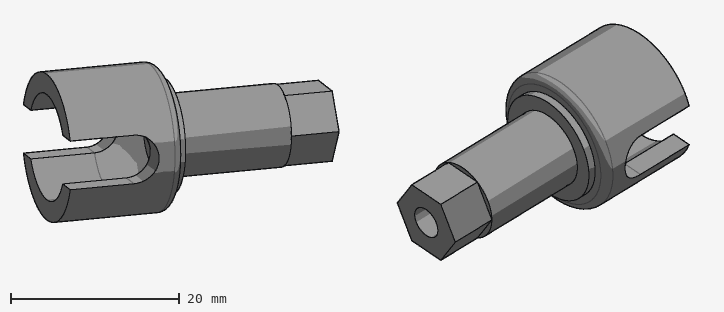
import cadquery as cq
import math

total_length = 35.0
cup_diameter = 18.0
cup_length = 14.0
cup_edge_radius = 1.0
collar_diameter = 14.0
collar_length = 1.0
shaft_diameter = 10.0
shaft_length = 14.0
bore_diameter = 4.0
cavity_diameter = 13.0
cavity_floor_diameter = 7.18
slot_width = 6.0
slot_depth = 11.0

collar_end = cup_length + collar_length
shaft_end = collar_end + shaft_length
hex_length = total_length - shaft_end

slot_radius = slot_width / 2
round_centre = slot_depth - slot_radius
cavity_radius = cavity_diameter / 2
floor_radius = cavity_floor_diameter / 2
floor_depth = round_centre + math.sqrt(cavity_radius**2 - floor_radius**2)


def section_plane(y):
    """Plane across the axis at y, extruding toward +Y."""
    return cq.Workplane(cq.Plane(origin=(0, y, 0), xDir=(1, 0, 0), normal=(0, 1, 0)))


def cylinder(diameter, start, length):
    return section_plane(start).circle(diameter / 2).extrude(length)


def make_body():
    cup = cylinder(cup_diameter, 0, cup_length).faces(">Y").edges().fillet(cup_edge_radius)
    collar = cylinder(collar_diameter, cup_length, collar_length)
    shaft = cylinder(shaft_diameter, collar_end, shaft_length)
    hex_end = section_plane(shaft_end).polygon(6, shaft_diameter).extrude(hex_length)
    return cup.union(collar).union(shaft).union(hex_end)


def make_cavity():
    """Cylindrical cavity with a spherical bottom cut off by a flat floor."""
    barrel = cylinder(cavity_diameter, 0, round_centre)
    ball = cq.Workplane("XY").sphere(cavity_radius).translate((0, round_centre, 0))
    bottom = ball.intersect(cylinder(cavity_diameter, round_centre, floor_depth - round_centre))
    return barrel.union(bottom)


def make_slot():
    """Round-ended slot through both cup walls along X, open at the mouth."""
    return (
        cq.Workplane("YZ")
        .moveTo(0, -slot_radius)
        .lineTo(round_centre, -slot_radius)
        .threePointArc((slot_depth, 0), (round_centre, slot_radius))
        .lineTo(0, slot_radius)
        .close()
        .extrude(cup_diameter / 2, both=True)
    )


bore = cylinder(bore_diameter, 0, total_length)
result = make_body().cut(make_cavity()).cut(make_slot()).cut(bore)